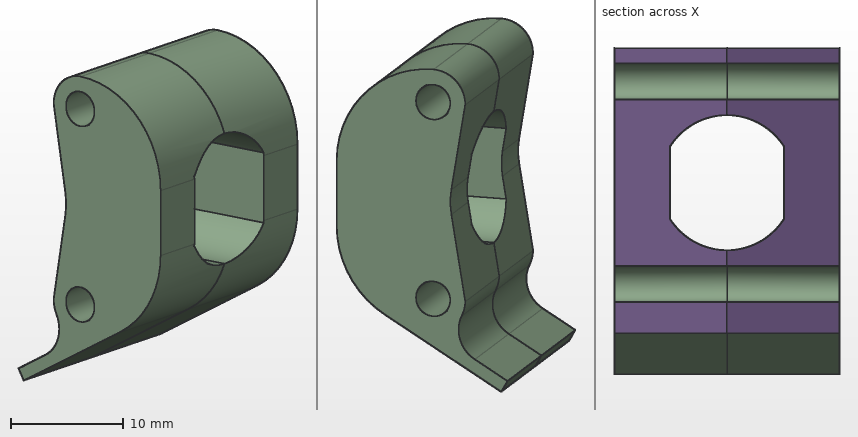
import cadquery as cq
import math

WIDTH = 20.0
PIN_OFFSET = 9.0
PIN_DIAMETER = 3.2
END_RADIUS = 3.0
BACK_RADIUS = 9.0
WAIST_X = -1.5
WAIST_RADIUS = 7.0
TAIL_ANGLE = 30.0
TAIL_THICKNESS = 1.2
TAIL_BOTTOM = -17.05
TAIL_FILLET = 3.0
BORE_DIAMETER = 12.0
BORE_FLATS = 10.1

HALF_WIDTH = WIDTH / 2
TOP = PIN_OFFSET + END_RADIUS
ARC_CENTER_Z = TOP - BACK_RADIUS

TAIL_RADIANS = math.radians(TAIL_ANGLE)
ALONG = (-math.cos(TAIL_RADIANS), -math.sin(TAIL_RADIANS))
NORMAL = (-math.sin(TAIL_RADIANS), math.cos(TAIL_RADIANS))


def offset(point, direction, distance):
    """Point in the XZ plane moved a distance along a unit direction."""
    return (point[0] + distance * direction[0], point[1] + distance * direction[1])


def arc_middle(center, radius, start, end):
    """Middle of the shorter arc between two points on a circle."""
    dx = start[0] + end[0] - 2 * center[0]
    dz = start[1] + end[1] - 2 * center[1]
    length = math.hypot(dx, dz)
    return offset(center, (dx / length, dz / length), radius)


def profile():
    """Closed side outline in the XZ plane."""
    upper_pin = (0, PIN_OFFSET)
    lower_pin = (0, -PIN_OFFSET)
    upper_arc_center = (0, ARC_CENTER_Z)
    lower_arc_center = (0, -ARC_CENTER_Z)

    top = (0, TOP)
    flat_top = (BACK_RADIUS, ARC_CENTER_Z)
    flat_bottom = (BACK_RADIUS, -ARC_CENTER_Z)
    tail_start = offset(lower_arc_center, NORMAL, -BACK_RADIUS)
    tail_length = (TAIL_BOTTOM - tail_start[1]) / ALONG[1]
    tip_bottom = offset(tail_start, ALONG, tail_length)
    tip_top = offset(tip_bottom, NORMAL, TAIL_THICKNESS)

    pin_height = BACK_RADIUS - (PIN_OFFSET - ARC_CENTER_Z) * NORMAL[1]
    rise = TAIL_THICKNESS + TAIL_FILLET - pin_height
    center_distance = END_RADIUS + TAIL_FILLET
    run = math.sqrt(center_distance**2 - rise**2)
    fillet_center = offset(offset(lower_pin, ALONG, run), NORMAL, rise)
    fillet_bottom = offset(fillet_center, NORMAL, -TAIL_FILLET)
    pin_share = END_RADIUS / center_distance
    fillet_top = (
        fillet_center[0] * pin_share,
        lower_pin[1] + (fillet_center[1] - lower_pin[1]) * pin_share,
    )

    front_bottom = (-END_RADIUS, -PIN_OFFSET)
    front_top = (-END_RADIUS, PIN_OFFSET)
    slope = math.atan2(END_RADIUS + WAIST_X, PIN_OFFSET)
    waist_half = WAIST_RADIUS * math.sin(slope)
    waist_end_x = WAIST_X - waist_half * math.tan(slope)
    waist_peak_x = waist_end_x + WAIST_RADIUS * (1 - math.cos(slope))

    return (
        cq.Workplane("XZ", origin=(0, HALF_WIDTH, 0))
        .moveTo(*top)
        .threePointArc(arc_middle(upper_arc_center, BACK_RADIUS, top, flat_top), flat_top)
        .lineTo(*flat_bottom)
        .threePointArc(
            arc_middle(lower_arc_center, BACK_RADIUS, flat_bottom, tail_start), tail_start
        )
        .lineTo(*tip_bottom)
        .lineTo(*tip_top)
        .lineTo(*fillet_bottom)
        .threePointArc(
            arc_middle(fillet_center, TAIL_FILLET, fillet_bottom, fillet_top), fillet_top
        )
        .threePointArc(
            arc_middle(lower_pin, END_RADIUS, fillet_top, front_bottom), front_bottom
        )
        .lineTo(waist_end_x, -waist_half)
        .threePointArc((waist_peak_x, 0), (waist_end_x, waist_half))
        .lineTo(*front_top)
        .threePointArc(arc_middle(upper_pin, END_RADIUS, front_top, top), top)
        .close()
    )


def pin_holes():
    """Two holes across the full width, along Y."""
    return (
        cq.Workplane("XZ", origin=(0, HALF_WIDTH, 0))
        .pushPoints([(0, PIN_OFFSET), (0, -PIN_OFFSET)])
        .circle(PIN_DIAMETER / 2)
        .extrude(WIDTH)
    )


def bore():
    """Round bore along X with two flat sides, long enough to pass through."""
    length = 4 * BACK_RADIUS
    cylinder = cq.Workplane("YZ").circle(BORE_DIAMETER / 2).extrude(length / 2, both=True)
    flats = cq.Workplane("XY").box(length, BORE_FLATS, BORE_DIAMETER)
    return cylinder.intersect(flats)


def clamp_half(side):
    """One half of the clamp: side is -1 for -Y and +1 for +Y."""
    block = profile().extrude(WIDTH).cut(pin_holes()).cut(bore())
    half_space = (
        cq.Workplane("XY")
        .box(4 * BACK_RADIUS, HALF_WIDTH, 4 * BACK_RADIUS)
        .translate((0, side * HALF_WIDTH / 2, 0))
    )
    return block.intersect(half_space)


clamp_halves = [clamp_half(side).solids().val() for side in (-1, 1)]

result = cq.Compound.makeCompound([*clamp_halves])